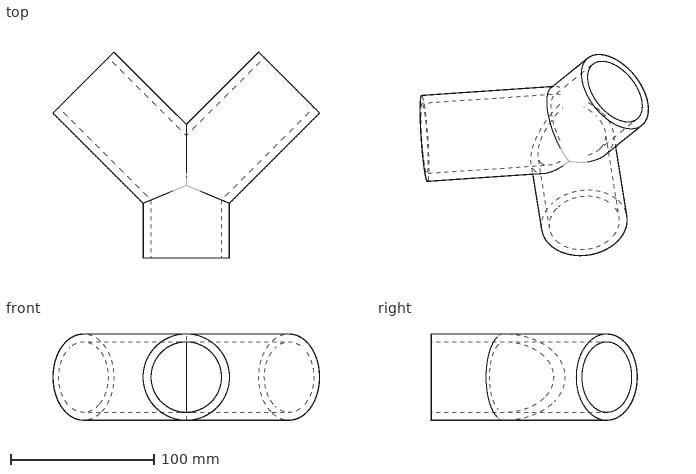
import cadquery as cq
import math

overall_width = 186.3
overall_depth = 144.0
outer_diameter = 60.4
bore_diameter = 49.2
arm_angle = 45.0

angle = math.radians(arm_angle)
outer_radius = outer_diameter / 2
arm_length = (overall_width / 2 - outer_radius * math.sin(angle)) / math.cos(angle)
arm_reach_y = arm_length * math.sin(angle) + outer_radius * math.cos(angle)
leg_length = overall_depth - arm_reach_y

branches = [
    (cq.Vector(0, -1, 0), leg_length),
    (cq.Vector(math.cos(angle), math.sin(angle), 0), arm_length),
    (cq.Vector(-math.cos(angle), math.sin(angle), 0), arm_length),
]


def joined_cylinders(diameter):
    """Union of one cylinder per branch, all starting at the junction."""
    joined = cq.Workplane("XY")
    for direction, length in branches:
        cylinder = cq.Solid.makeCylinder(diameter / 2, length, cq.Vector(0, 0, 0), direction)
        joined = joined.union(cq.Workplane(cylinder))
    return joined


result = joined_cylinders(outer_diameter).cut(joined_cylinders(bore_diameter))